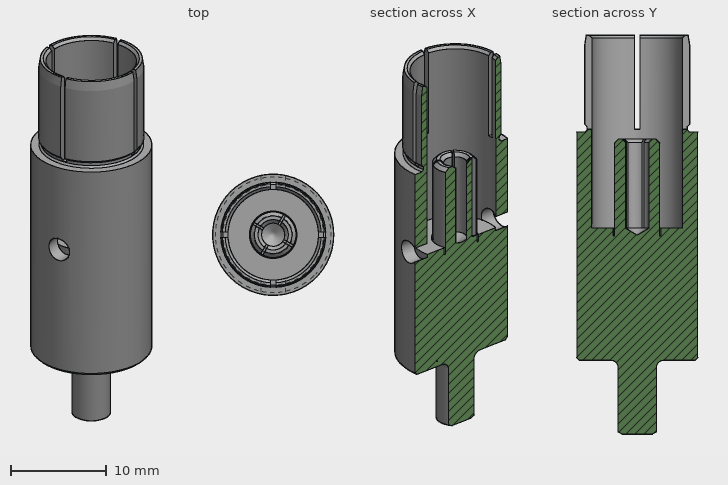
import cadquery as cq
import math

total_height = 41.75
body_bottom = 7.73
body_top = 31.65
cup_floor = 21.6

body_radius = 12.7 / 2
body_chamfer = 0.3

tail_radius = 4.05 / 2
tail_tip_radius = 3.17 / 2
tail_tip_height = 0.25
tail_fillet = 0.75

sleeve_radius = 11.03 / 2
sleeve_tip_radius = 10.7 / 2
sleeve_taper_height = 1.05
sleeve_bore_radius = 9.5 / 2
bore_chamfer = 0.3
neck_radius = 10.53 / 2
neck_bevel = 0.2
neck_height = 0.55
sleeve_slot_width = 0.55
sleeve_slot_bottom = 31.95

contact_top = 30.9
contact_radius = 4.75 / 2
contact_clearance_radius = 4.95 / 2
contact_clearance_depth = 0.85
clearance_bottom = cup_floor - contact_clearance_depth
contact_tip_radius = 3.93 / 2
contact_mouth_radius = 3.17 / 2
contact_bore_radius = 2.42 / 2
drill_half_angle = math.radians(59)
contact_slot_width = 0.25
contact_slot_angle = 60.0

side_hole_radius = 2.55 / 2
side_hole_height = 22.05


def turned(points):
    """Solid of revolution about Z from (radius, height) points closed on the axis."""
    return cq.Workplane("XZ").polyline(points).close().revolve(360, (0, 0), (0, 1))


def cross_slots(width, bottom, top, radius):
    """Two crossed slabs that cut four slots through a ring of the given radius."""
    slab = cq.Workplane("XY", origin=(0, 0, bottom)).rect(2 * radius, width).extrude(top - bottom)
    return slab.union(slab.rotate((0, 0, 0), (0, 0, 1), 90))


def make_shell():
    """Turned outer shape: tail pin, body, neck and sleeve."""
    fillet_corner = tail_fillet * math.sqrt(0.5)
    profile = (
        cq.Workplane("XZ")
        .moveTo(0, 0)
        .lineTo(tail_tip_radius, 0)
        .lineTo(tail_radius, tail_tip_height)
        .lineTo(tail_radius, body_bottom - tail_fillet)
        .threePointArc(
            (tail_radius + tail_fillet - fillet_corner, body_bottom - tail_fillet + fillet_corner),
            (tail_radius + tail_fillet, body_bottom),
        )
        .lineTo(body_radius - body_chamfer, body_bottom)
        .lineTo(body_radius, body_bottom + body_chamfer)
        .lineTo(body_radius, body_top)
        .lineTo(neck_radius + neck_bevel, body_top)
        .lineTo(neck_radius, body_top + neck_bevel)
        .lineTo(neck_radius, body_top + neck_height)
        .lineTo(sleeve_radius, body_top + neck_height + sleeve_radius - neck_radius)
        .lineTo(sleeve_radius, total_height - sleeve_taper_height)
        .lineTo(sleeve_tip_radius, total_height)
        .lineTo(0, total_height)
        .close()
    )
    return profile.revolve(360, (0, 0), (0, 1))


def make_cup_bore():
    """Sleeve bore chamfered at its mouth, with the contact's clearance hole sunk in the cup floor."""
    return turned([
        (0, clearance_bottom),
        (contact_clearance_radius, clearance_bottom),
        (contact_clearance_radius, cup_floor),
        (sleeve_bore_radius, cup_floor),
        (sleeve_bore_radius, total_height - bore_chamfer),
        (sleeve_bore_radius + bore_chamfer, total_height),
        (0, total_height),
    ])


def make_contact():
    """Slotted centre socket with a chamfered tip, before boring."""
    tip_chamfer = contact_radius - contact_tip_radius
    post = turned([
        (0, clearance_bottom),
        (contact_radius, clearance_bottom),
        (contact_radius, contact_top - tip_chamfer),
        (contact_tip_radius, contact_top),
        (0, contact_top),
    ])
    slots = cross_slots(contact_slot_width, cup_floor, contact_top, body_radius)
    return post.cut(slots.rotate((0, 0, 0), (0, 0, 1), contact_slot_angle))


def make_contact_bore():
    """Bore of the contact, ending in a drill cone below the cup floor."""
    mouth_chamfer = contact_mouth_radius - contact_bore_radius
    return turned([
        (0, cup_floor - contact_bore_radius / math.tan(drill_half_angle)),
        (contact_bore_radius, cup_floor),
        (contact_bore_radius, contact_top - mouth_chamfer),
        (contact_mouth_radius, contact_top),
        (0, contact_top),
    ])


def make_side_holes():
    """Round holes through the body wall on the -Y and +Y sides, stopping at the bore surface."""
    drill = (
        cq.Workplane("XZ", origin=(0, body_radius, side_hole_height))
        .circle(side_hole_radius)
        .extrude(2 * body_radius)
    )
    core = cq.Workplane("XY").circle(sleeve_bore_radius).extrude(total_height)
    return drill.cut(core)


result = (
    make_shell()
    .cut(make_cup_bore())
    .cut(cross_slots(sleeve_slot_width, sleeve_slot_bottom, total_height, body_radius))
    .cut(make_side_holes())
    .union(make_contact())
    .cut(make_contact_bore())
)